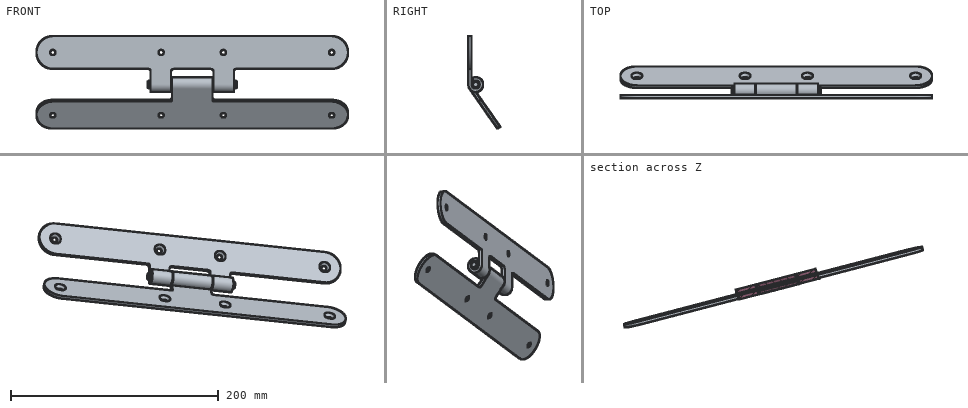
import cadquery as cq
import math

LEAF_LENGTH = 300.0
LEAF_TOP = 46.8
LEAF_WIDTH = 31.8
LEAF_NEAR = LEAF_TOP - LEAF_WIDTH
LEAF_MID = LEAF_TOP - LEAF_WIDTH / 2
TAB_CORNER_RADIUS = 2.0
WINDOW_CORNER_RADIUS = 3.0

KNUCKLE_RADIUS = 7.2
PIN_RADIUS = 4.0
THICKNESS = KNUCKLE_RADIUS - PIN_RADIUS
CURL_GAP_ANGLE = 2.0
CURL_END_ANGLE = math.degrees(math.acos(PIN_RADIUS / KNUCKLE_RADIUS)) + CURL_GAP_ANGLE

TAB_OUTER = 40.2
TAB_INNER = 20.5
CENTRE_TAB_HALF = 19.5

PIN_HALF_LENGTH = 43.2
PIN_CHAMFER_LENGTH = 1.8
PIN_CHAMFER_DEPTH = 1.2

HOLE_XS = (-134.0, -30.0, 30.0, 134.0)
HOLE_DIAMETER = 4.8
SINK_DIAMETER = 10.5
SINK_ANGLE = 2 * math.degrees(math.atan((SINK_DIAMETER - HOLE_DIAMETER) / 2 / THICKNESS))

OPEN_ANGLE = 35.0


def strip():
    """Round-ended strip whose front face lies tangent to the knuckle."""
    return (
        cq.Workplane("XZ", origin=(0, -PIN_RADIUS, LEAF_MID))
        .slot2D(LEAF_LENGTH, LEAF_WIDTH)
        .extrude(THICKNESS)
    )


def tab(x_start, x_end):
    """Flat tab running down from the strip and curling round the pin."""
    end = math.radians(CURL_END_ANGLE)
    end_y, end_z = -math.cos(end), math.sin(end)
    return (
        cq.Workplane("YZ", origin=(x_start, 0, 0))
        .moveTo(-KNUCKLE_RADIUS, LEAF_MID)
        .lineTo(-KNUCKLE_RADIUS, 0)
        .threePointArc((KNUCKLE_RADIUS, 0), (KNUCKLE_RADIUS * end_y, KNUCKLE_RADIUS * end_z))
        .lineTo(PIN_RADIUS * end_y, PIN_RADIUS * end_z)
        .threePointArc((PIN_RADIUS, 0), (-PIN_RADIUS, 0))
        .lineTo(-PIN_RADIUS, LEAF_MID)
        .close()
        .extrude(x_end - x_start)
    )


def round_corners(body, tab_edge, radius):
    """Round the two inside corners where tab sides at X = +-tab_edge meet the strip."""
    for x in (-tab_edge, tab_edge):
        corner = cq.selectors.NearestToPointSelector(
            (x, -(KNUCKLE_RADIUS + PIN_RADIUS) / 2, LEAF_NEAR)
        )
        body = body.edges("|Y").edges(corner).fillet(radius)
    return body


def leaf(tab_spans, corners):
    """One leaf, standing upright above the hinge axis; corners pair a tab edge with its radius."""
    body = strip()
    for x_start, x_end in tab_spans:
        body = body.union(tab(x_start, x_end))
    for tab_edge, radius in corners:
        body = round_corners(body, tab_edge, radius)
    return (
        body.copyWorkplane(cq.Workplane("XZ", origin=(0, -PIN_RADIUS, LEAF_MID)))
        .transformed(rotate=(180, 0, 0))
        .pushPoints([(x, 0) for x in HOLE_XS])
        .cskHole(HOLE_DIAMETER, SINK_DIAMETER, SINK_ANGLE)
    )


def make_upper_leaf():
    return leaf(
        [(-TAB_OUTER, -TAB_INNER), (TAB_INNER, TAB_OUTER)],
        [(TAB_OUTER, TAB_CORNER_RADIUS), (TAB_INNER, WINDOW_CORNER_RADIUS)],
    )


def make_lower_leaf():
    """Centre-tab leaf, flipped below the axis and swung open."""
    upright = leaf(
        [(-CENTRE_TAB_HALF, CENTRE_TAB_HALF)],
        [(CENTRE_TAB_HALF, TAB_CORNER_RADIUS)],
    )
    return upright.mirror("XY").rotate((0, 0, 0), (1, 0, 0), OPEN_ANGLE)


def make_pin():
    return (
        cq.Workplane("YZ", origin=(-PIN_HALF_LENGTH, 0, 0))
        .circle(PIN_RADIUS)
        .extrude(2 * PIN_HALF_LENGTH)
        .faces("<X or >X")
        .edges()
        .chamfer(PIN_CHAMFER_LENGTH, PIN_CHAMFER_DEPTH)
    )


upper_leaf = make_upper_leaf()
lower_leaf = make_lower_leaf()
pin = make_pin()

result = cq.Compound.makeCompound([upper_leaf.val(), lower_leaf.val(), pin.val()])